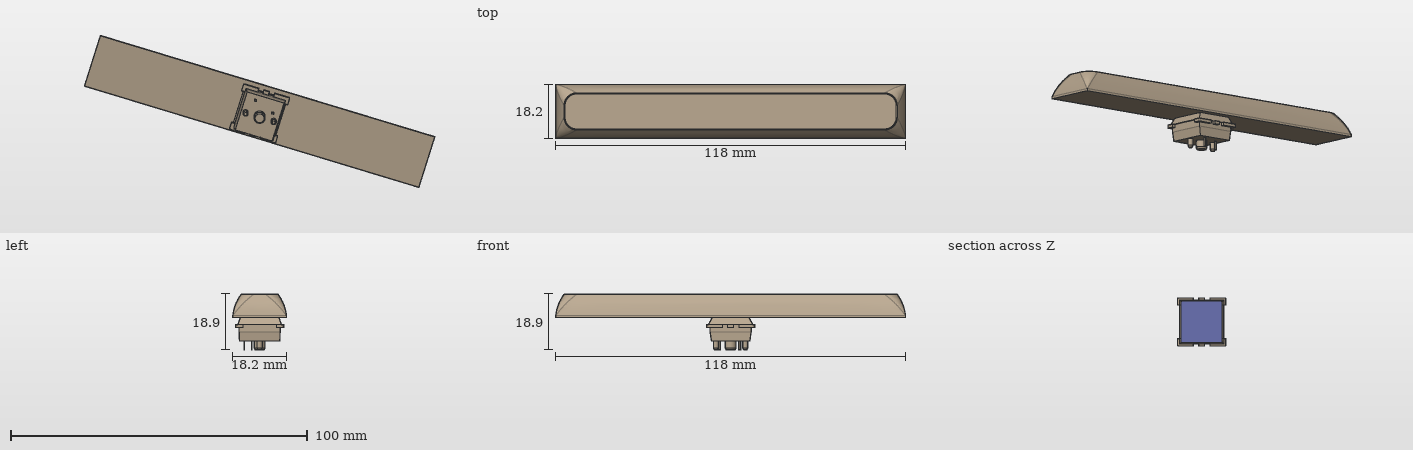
import cadquery as cq
import math

cap_length = 118
cap_width = 18.2
lip_height = 0.77
dome_height = 7.1
rim_height = 0.1
rim_width = 0.4
cap_height = lip_height + dome_height + rim_height
top_inset = 2.8
top_corner_radius = 4.2
base_corner_radius = 0.1
flank_radius = 15.3
dome_sections = 4

total_height = 18.9
shell_height = 2.4
shell_top_size = (12.5, 13.1)
shell_base_size = (15.0, 14.7)
flange_size = 16.3
flange_height = 1.1
flange_corner_radius = 0.4
body_size = 13.9
collar_height = 1.4
body_base_size = (13, 13.7)
pin_height = 3.0
side_notch_width = 11.3
front_notch_width = 1.8
front_notch_offset = 1.9

centre_peg_diameter = 3.8
side_peg_diameter = 1.8
side_peg_offset = 5.0
peg_chamfer_height = 0.7
peg_chamfer_width = 0.4
pin_width = 0.7
pin_thickness = 0.1
pin_places = [(-3.8, 2.7), (3.1, 5.2)]

flange_top = -shell_height
flange_bottom = flange_top - flange_height
collar_bottom = flange_bottom - collar_height
pin_bottom = cap_height - total_height
body_bottom = pin_bottom + pin_height


def flank_inset(height):
    """Inward shift of the convex flank at a height above the lip, along one arc from lip to top."""
    half_chord = math.hypot(top_inset, dome_height) / 2
    centre_distance = math.sqrt(flank_radius**2 - half_chord**2)
    centre_inset = top_inset / 2 + centre_distance * dome_height / (2 * half_chord)
    centre_height = dome_height / 2 - centre_distance * top_inset / (2 * half_chord)
    return centre_inset - math.sqrt(flank_radius**2 - (height - centre_height) ** 2)


def dome_outline(fraction):
    """Rounded rectangle across the dome, with corners that grow rounder toward the top."""
    height = fraction * dome_height
    inset = flank_inset(height)
    corner = base_corner_radius + fraction * (top_corner_radius - base_corner_radius)
    sketch = cq.Sketch().rect(cap_length - 2 * inset, cap_width - 2 * inset).vertices().fillet(corner)
    return sketch.moved(cq.Location(cq.Vector(0, 0, lip_height + height)))


def box_down(length, width, top, bottom):
    return cq.Workplane("XY").workplane(offset=bottom).rect(length, width).extrude(top - bottom)


def taper_down(top_size, base_size, top, bottom):
    return (
        cq.Workplane("XY").workplane(offset=top).rect(*top_size)
        .workplane(offset=bottom - top).rect(*base_size)
        .loft(ruled=True)
    )


def top_rim():
    """Shallow bevelled rim that borders the flat top."""
    slope = math.degrees(math.atan2(rim_width, rim_height))
    outline = dome_outline(1)
    return cq.Workplane("XY").placeSketch(outline).extrude(rim_height, taper=slope)


def keycap():
    lip = box_down(cap_length, cap_width, lip_height, 0)
    outlines = [dome_outline(step / dome_sections) for step in range(dome_sections + 1)]
    dome = cq.Workplane("XY").placeSketch(*outlines).loft()
    return lip.union(dome).union(top_rim())


def flange():
    """Square flange notched back to the body: once on each X side and twice on each Y side."""
    plate = box_down(flange_size, flange_size, flange_top, flange_bottom)
    plate = plate.edges("|Z").fillet(flange_corner_radius)
    notch_depth = (flange_size - body_size) / 2
    notch_centre = (body_size + notch_depth) / 2
    for side in (-1, 1):
        side_notch = box_down(notch_depth, side_notch_width, flange_top, flange_bottom)
        plate = plate.cut(side_notch.translate((side * notch_centre, 0, 0)))
        for x in (-front_notch_offset, front_notch_offset):
            front_notch = box_down(front_notch_width, notch_depth, flange_top, flange_bottom)
            plate = plate.cut(front_notch.translate((x, side * notch_centre, 0)))
    return plate


def switch_body():
    shell = taper_down(shell_top_size, shell_base_size, 0, flange_top)
    collar = box_down(body_size, body_size, flange_top, collar_bottom)
    base = taper_down((body_size, body_size), body_base_size, collar_bottom, body_bottom)
    return shell.union(flange()).union(collar).union(base)


def peg(diameter, x):
    post = cq.Workplane("XY", origin=(x, 0, pin_bottom)).circle(diameter / 2).extrude(pin_height)
    return post.faces("<Z").chamfer(peg_chamfer_height, peg_chamfer_width)


result = keycap().union(switch_body())
result = result.union(peg(centre_peg_diameter, 0))
for peg_x in (-side_peg_offset, side_peg_offset):
    result = result.union(peg(side_peg_diameter, peg_x))
for pin_x, pin_y in pin_places:
    pin = box_down(pin_width, pin_thickness, body_bottom, pin_bottom)
    result = result.union(pin.translate((pin_x, pin_y, 0)))